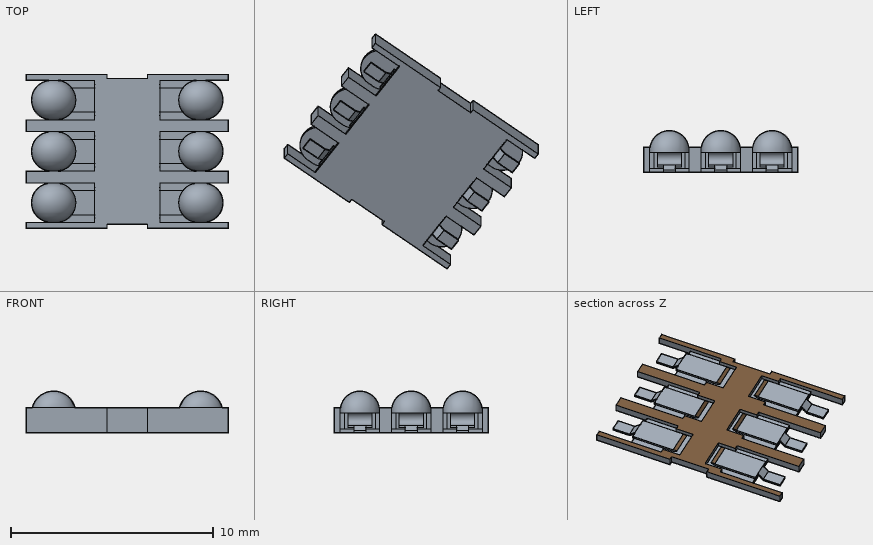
import cadquery as cq
import math

length = 10.0
pitch = 2.54
row_count = 3
width = row_count * pitch
height = 1.24

slot_width = 1.95
slot_end_x = 1.62
floor_thickness = 0.185
floor_edge_x = 3.3
cavity_width = 1.53
cavity_end_x = 0.7

side_recess_length = 2.0
side_recess_depth = 0.2

strip_width = 1.2
strip_thickness = 0.105
lower_strip_z = 0.265
bend_centre_x = 1.2
dome_radius = 1.1
dome_x = 3.64
dome_base_z = 0.97
strip_top_z = dome_base_z + strip_thickness
lower_strip_top_z = lower_strip_z + strip_thickness
tail_width = 0.6
tail_end_x = 4.56
tail_slope_start_x = 3.35
tail_slope_end_x = 3.65

bend_outer_radius = (strip_top_z - lower_strip_z) / 2
bend_inner_radius = bend_outer_radius - strip_thickness
bend_centre_z = lower_strip_z + bend_outer_radius

row_positions = [(row - (row_count - 1) / 2) * pitch for row in range(row_count)]
end_sides = (-1, 1)


def block(x_start, x_end, y_centre, y_width, z_start, z_end):
    """Box between two X and two Z levels, centred across Y."""
    corner = (x_start, y_centre - y_width / 2, z_start)
    return cq.Workplane("XY").box(x_end - x_start, y_width, z_end - z_start, centered=False).translate(corner)


def face_side(shape, side):
    """Turn a shape made on the +X end so that it belongs to the given end."""
    return shape if side > 0 else shape.mirror("YZ")


def make_pocket(y_centre):
    """Space cut from the +X end of the housing for one contact."""
    slot = block(slot_end_x, length / 2, y_centre, slot_width, floor_thickness, height)
    open_bottom = block(floor_edge_x, length / 2, y_centre, slot_width, 0, floor_thickness)
    cavity = block(cavity_end_x, slot_end_x, y_centre, cavity_width, floor_thickness, strip_top_z)
    return slot.union(open_bottom).union(cavity)


def make_housing():
    body = block(-length / 2, length / 2, 0, width, 0, height)
    for side in end_sides:
        recess_y = side * (width - side_recess_depth) / 2
        half_recess = side_recess_length / 2
        body = body.cut(block(-half_recess, half_recess, recess_y, side_recess_depth, 0, height))
        for row_y in row_positions:
            body = body.cut(face_side(make_pocket(row_y), side))
    return body


def extrude_profile(profile, profile_width):
    """Extrude an XZ profile symmetrically about the XZ plane."""
    return profile.extrude(profile_width / 2, both=True)


def make_folded_strip():
    """C-shaped strip whose upper leg ends under the dome."""
    profile = (
        cq.Workplane("XZ")
        .moveTo(tail_slope_start_x, lower_strip_z)
        .lineTo(bend_centre_x, lower_strip_z)
        .threePointArc((bend_centre_x - bend_outer_radius, bend_centre_z), (bend_centre_x, strip_top_z))
        .lineTo(dome_x, strip_top_z)
        .lineTo(dome_x, dome_base_z)
        .lineTo(bend_centre_x, dome_base_z)
        .threePointArc((bend_centre_x - bend_inner_radius, bend_centre_z), (bend_centre_x, lower_strip_top_z))
        .lineTo(tail_slope_start_x, lower_strip_top_z)
        .close()
    )
    return extrude_profile(profile, strip_width)


def make_tail():
    """Narrow tail that slopes from the lower leg down to the underside of the housing."""
    profile = (
        cq.Workplane("XZ")
        .moveTo(bend_centre_x, lower_strip_z)
        .lineTo(tail_slope_start_x, lower_strip_z)
        .lineTo(tail_slope_end_x, 0)
        .lineTo(tail_end_x, 0)
        .lineTo(tail_end_x, strip_thickness)
        .lineTo(tail_slope_end_x, strip_thickness)
        .lineTo(tail_slope_start_x, lower_strip_top_z)
        .lineTo(bend_centre_x, lower_strip_top_z)
        .close()
    )
    return extrude_profile(profile, tail_width)


def make_dome():
    """Half turn of a circular arc about the Y axis, just touching both slot walls at its widest."""
    arc_radius = slot_width / 2
    arc_offset = dome_radius - arc_radius
    half_chord = math.sqrt(arc_radius**2 - arc_offset**2)
    profile = (
        cq.Workplane("XY")
        .moveTo(0, -half_chord)
        .threePointArc((dome_radius, 0), (0, half_chord))
        .close()
    )
    dome = profile.revolve(180, (0, 0), (0, -1))
    return dome.translate((dome_x, 0, dome_base_z))


def make_contact(side, row_y):
    contact = make_folded_strip().union(make_tail()).union(make_dome())
    return face_side(contact, side).translate((0, row_y, 0))


housing = make_housing()
contacts = [make_contact(side, row_y) for side in end_sides for row_y in row_positions]

result = cq.Compound.makeCompound([housing.solids().val(), *[contact.solids().val() for contact in contacts]])